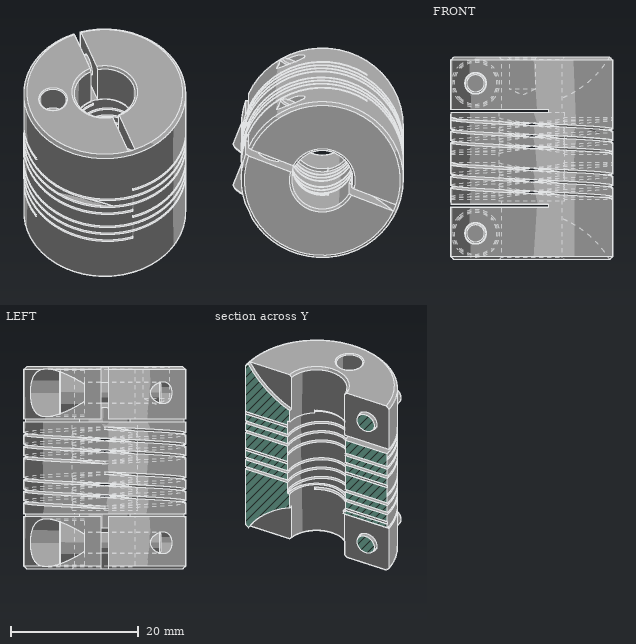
import cadquery as cq
import math

outer_diameter = 25.4
length = 31.75
edge_chamfer = 0.5
bore_diameter = 9.525
bore_chamfer_diameter = 10.29
relief_diameter = 10.29
relief_land = 0.5

clamp_length = 8.23
cross_cut_width = 0.45
cross_cut_end_x = 2.6
slot_width = 1.1
blade_radius = 16.0
slot_end_x = 12.2
blade_center_x = -1.5

helix_pitch = 3.6
helix_turns = 1.5
helix_cut_width = 0.4
helix_group_offset = 3.52
helix_start_angles = (0, 180)
helix_cutter_overrun = 1.0

screw_x = -8.8
screw_z = 11.75
screw_diameter = 3.21
screw_tip_y = -8.83
screw_tip_chamfer = 0.25
screw_hole_diameter = 3.4
head_diameter = 7.0
head_seat_y = 3.15
head_top_y = 7.1
head_chamfer = 0.2
counterbore_diameter = 7.5

pin_hole_x = -1.45
pin_hole_y = -8.1
pin_hole_diameter = 4.15
pin_hole_mouth_diameter = 4.5
pin_hole_depth = 5.0
drill_point_angle = 130

outer_radius = outer_diameter / 2
bore_radius = bore_diameter / 2
half_length = length / 2
clamp_inner_z = half_length - clamp_length
cut_reach = outer_diameter


def make_body():
    base = cq.Workplane("XY", origin=(0, 0, -half_length))
    body = base.circle(outer_radius).extrude(length)
    body = body.faces("<Z or >Z").chamfer(edge_chamfer)
    body = body.cut(base.circle(bore_radius).extrude(length))
    bore_chamfer = (bore_chamfer_diameter - bore_diameter) / 2
    return body.edges("%CIRCLE").edges(cq.selectors.RadiusNthSelector(0)).chamfer(bore_chamfer)


def make_bore_relief():
    """Wider bore through the flexible middle, from the upper cross cut down to a narrow land."""
    relief_top_z = clamp_inner_z - cross_cut_width
    return (
        cq.Workplane("XY", origin=(0, 0, relief_top_z))
        .circle(relief_diameter / 2)
        .extrude(-2 * relief_top_z + relief_land)
    )


def mirrored_pair(shape):
    """The shape together with its mirror image below the mid plane."""
    return shape.union(shape.mirror("XY"))


def make_cross_cut():
    """Horizontal cut reaching in from the -X side to a flat end."""
    return (
        cq.Workplane("XY", origin=(cross_cut_end_x - cut_reach, 0, clamp_inner_z - cross_cut_width))
        .box(cut_reach, 2 * cut_reach, cross_cut_width, centered=(False, True, False))
    )


def make_slot():
    """Full-depth slot on the -X side, with a round saw floor rising on the +X side."""
    through_part = (
        cq.Workplane("XY", origin=(-outer_radius, 0, clamp_inner_z))
        .box(outer_radius, slot_width, clamp_length, centered=(False, True, False))
    )
    blade_rise = math.sqrt(blade_radius**2 - (slot_end_x - blade_center_x) ** 2)
    blade = (
        cq.Workplane("XZ", origin=(blade_center_x, 0, half_length + blade_rise))
        .circle(blade_radius)
        .extrude(slot_width / 2, both=True)
    )
    return through_part.union(blade)


def make_helical_cut(group_z, start_angle):
    """Left-hand helical slit through the wall, from its lower end upwards."""
    height = helix_pitch * helix_turns
    path = cq.Wire.makeHelix(helix_pitch, height, bore_radius, lefthand=True)
    inner_radius = bore_radius - helix_cutter_overrun
    cutter_outer_radius = outer_radius + helix_cutter_overrun
    cut = (
        cq.Workplane("XZ")
        .center((inner_radius + cutter_outer_radius) / 2, 0)
        .rect(cutter_outer_radius - inner_radius, helix_cut_width)
        .sweep(cq.Workplane(obj=path), isFrenet=True)
    )
    return cut.rotate((0, 0, 0), (0, 0, 1), start_angle).translate((0, 0, group_z - height / 2))


def cylinder_along_y(diameter, y_start, y_end):
    """A cylinder on the upper clamp screw's axis."""
    return (
        cq.Workplane("XZ", origin=(screw_x, y_start, screw_z))
        .circle(diameter / 2)
        .extrude(y_start - y_end)
    )


def make_screw_hole():
    hole = cylinder_along_y(screw_hole_diameter, -cut_reach, head_seat_y)
    return hole.union(cylinder_along_y(counterbore_diameter, head_seat_y, cut_reach))


def make_screw():
    shank = cylinder_along_y(screw_diameter, screw_tip_y, head_seat_y)
    shank = shank.faces("<Y").chamfer(screw_tip_chamfer)
    head = cylinder_along_y(head_diameter, head_seat_y, head_top_y)
    return shank.union(head.faces(">Y").chamfer(head_chamfer))


def make_pin_hole():
    radius = pin_hole_diameter / 2
    mouth_radius = pin_hole_mouth_diameter / 2
    point_depth = radius / math.tan(math.radians(drill_point_angle / 2))
    profile = [
        (0, 0),
        (mouth_radius, 0),
        (radius, radius - mouth_radius),
        (radius, -pin_hole_depth),
        (0, -pin_hole_depth - point_depth),
    ]
    hole = cq.Workplane("XZ").polyline(profile).close().revolve()
    return hole.translate((pin_hole_x, pin_hole_y, half_length))


result = make_body().cut(make_bore_relief())
for clamp_cut in (make_cross_cut(), make_slot(), make_screw_hole()):
    result = result.cut(mirrored_pair(clamp_cut))
for group_z in (-helix_group_offset, helix_group_offset):
    for start_angle in helix_start_angles:
        result = result.cut(make_helical_cut(group_z, start_angle))
result = result.cut(make_pin_hole())
result = result.union(mirrored_pair(make_screw()))